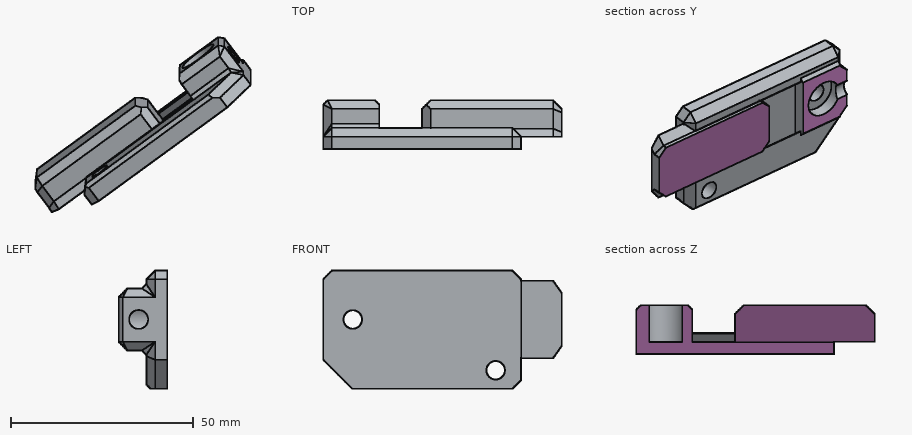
import cadquery as cq

plate_length = 54.2
plate_thickness = 5.8
plate_height = 32.41
chamfer = 2.4
small_chamfer = chamfer / 2
large_corner = 8.0
rim_y = plate_thickness - chamfer

axis_z = 19.0
back_y = 13.4

block_length = 15.4
block_half_height = 8.5
block_flat_half = block_half_height - chamfer
flare = small_chamfer

slider_left = 27.0
slider_right = 65.31
slider_half_height = 8.4
slider_flat_half = slider_half_height - chamfer
dovetail_half_height = 10.65
dovetail_y = rim_y + dovetail_half_height - slider_half_height

plate_hole_diameter = 5.0
left_hole_x = 8.1
right_hole_x = plate_length - 7.0
right_hole_z = 5.1
recess_diameter = 10.5
recess_floor_y = rim_y
side_hole_diameter = 5.2
side_hole_y = 7.9
side_hole_depth = left_hole_x

front_plane = cq.Workplane("XZ")


def tetrahedron(points):
    """Solid with four corners."""
    corners = [cq.Vector(*point) for point in points]
    faces = []
    for left_out in corners:
        outline = [corner for corner in corners if corner is not left_out]
        faces.append(cq.Face.makeFromWires(cq.Wire.makePolygon(outline, close=True)))
    return cq.Workplane(cq.Solid.makeSolid(cq.Shell.makeShell(faces)))


def cross_bore(diameter, x, z, start_y, end_y):
    """Round cutter along Y."""
    bore = front_plane.workplane(offset=-start_y).center(x, z).circle(diameter / 2)
    return bore.extrude(start_y - end_y)


def side_hole():
    """Round cutter along X, from the left end into the recess."""
    outline = cq.Workplane("YZ").center(side_hole_y, axis_z).circle(side_hole_diameter / 2)
    return outline.extrude(side_hole_depth)


def make_plate():
    """Plate with cut corners and a chamfered back rim, narrower along the bottom."""
    plate = cq.Workplane("XY").box(plate_length, plate_thickness, plate_height, centered=False)
    plate = plate.edges("|Y and <X and <Z").chamfer(large_corner)
    corners = plate.edges("|Y and >Z").vals() + plate.edges("|Y and >X and <Z").vals()
    rim = plate.faces(">Y").edges("not <Z").vals()
    plate = plate.newObject(corners + rim).chamfer(chamfer)
    return plate.faces(">Y").edges("<Z").chamfer(small_chamfer)


def make_block():
    """Block around the height Z = 0, with its outer edges chamfered."""
    block = cq.Workplane("XY").box(block_length, back_y, 2 * block_half_height, centered=False)
    block = block.translate((0, 0, -block_half_height))
    long_edges = block.edges("|X and >Y").vals()
    left_edges = block.faces("<X").edges("|Y").vals()
    block = block.newObject(long_edges + left_edges).chamfer(chamfer)
    block = block.faces(">Y").edges("|Z").chamfer(small_chamfer)
    tip = tetrahedron([
        (0, back_y - small_chamfer, block_flat_half),
        (small_chamfer, back_y, block_flat_half),
        (chamfer, back_y - chamfer, block_half_height),
        (small_chamfer / 2, back_y - small_chamfer / 2, block_flat_half + small_chamfer / 2),
    ])
    return block.cut(tip).cut(tip.mirror("XY"))


def make_flare():
    """Sloped strip where the block's top meets the plate, running to a point at the left end."""
    root = (plate_thickness, block_half_height)
    block_side = (plate_thickness + flare, block_half_height)
    plate_side = (plate_thickness, block_half_height + flare)
    strip = cq.Workplane("YZ").workplane(offset=chamfer).polyline([root, block_side, plate_side]).close()
    strip = strip.extrude(block_length - chamfer)
    point = tetrahedron([
        (0, rim_y, block_flat_half),
        (chamfer, *root),
        (chamfer, *block_side),
        (chamfer, *plate_side),
    ])
    return strip.union(point)


def dovetail_profile(left):
    """Slider section, wide at the front and chamfered at the back, placed at X = left."""
    half_profile = [
        (rim_y, dovetail_half_height),
        (dovetail_y, slider_half_height),
        (back_y - chamfer, slider_half_height),
        (back_y, slider_flat_half),
    ]
    lower_half = [(y, -z) for y, z in reversed(half_profile)]
    return cq.Workplane("YZ").workplane(offset=left).polyline(half_profile + lower_half).close()


def make_housing():
    """Plate with its block, slot and holes."""
    raised = make_block()
    upper_flare = make_flare()
    raised = raised.union(upper_flare).union(upper_flare.mirror("XY"))
    slot = dovetail_profile(block_length).extrude(plate_length - block_length)
    housing = make_plate().cut(slot.translate((0, 0, axis_z)))
    housing = housing.union(raised.translate((0, 0, axis_z)))
    for x, z in [(left_hole_x, axis_z), (right_hole_x, right_hole_z)]:
        housing = housing.cut(cross_bore(plate_hole_diameter, x, z, 0, back_y))
    housing = housing.cut(cross_bore(recess_diameter, left_hole_x, axis_z, recess_floor_y, back_y))
    return housing.cut(side_hole())


def slider_end_cuts():
    """Cutters that bevel the top, bottom and back of the slider's left end."""
    slope_run = chamfer + dovetail_half_height - slider_half_height
    top_outline = [
        (slider_left, slider_flat_half),
        (slider_left + slope_run, dovetail_half_height),
        (slider_left, dovetail_half_height),
    ]
    top = front_plane.polyline(top_outline).close().extrude(-back_y)
    back_outline = [
        (slider_left, back_y - chamfer),
        (slider_left + chamfer, back_y),
        (slider_left, back_y),
    ]
    back = cq.Workplane("XY").polyline(back_outline).close().extrude(slider_half_height, both=True)
    return [top, top.mirror("XY"), back]


def make_slider():
    """Dovetail slider, its right end chamfered all round except at the front."""
    slider = dovetail_profile(slider_left).extrude(slider_right - slider_left)
    slider = slider.faces(">X").edges("not <Y").chamfer(chamfer)
    for cutter in slider_end_cuts():
        slider = slider.cut(cutter)
    return slider.translate((0, 0, axis_z))


housing = make_housing()
slider = make_slider()
result = cq.Compound.makeCompound([*housing.solids().vals(), *slider.solids().vals()])